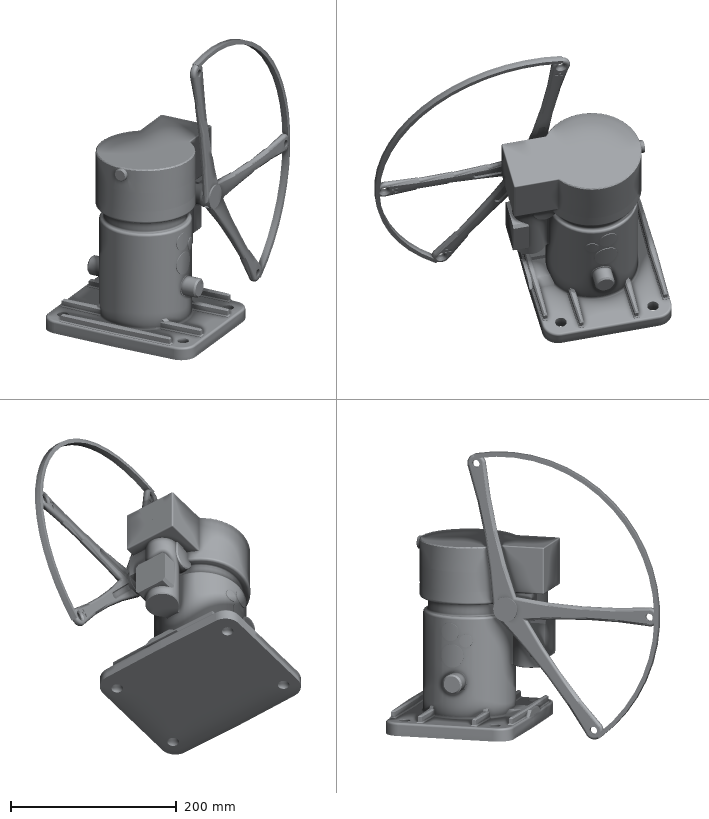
import cadquery as cq
import math


BASE_HALF_X = 101.5
BASE_END_Y = 79.5
BASE_MID_Y = 81.0
BASE_CORNER_R = 19.5
BASE_HEIGHT = 16.0
BASE_EDGE_R = 2.8
BASE_HOLE_D = 14.0
BASE_HOLE_X = 82.5
BASE_HOLE_Y = 57.0

RIB_TOP_Z = 25.5
INNER_RIB_Y = 34.0
INNER_RIB_HALF_X = 95.0
INNER_RIB_BLEND = 2.8
OUTER_RIB_Y = 74.5
OUTER_RIB_HALF_X = 74.7
RIB_END_WIDTH = 5.0
INNER_RIB_MID_WIDTH = 10.5
OUTER_RIB_MID_WIDTH = 7.5
RIB_TOP_CHAMFER = 1.7
RIB_FOOT_WIDENING = 1.5
RIB_FOOT_HEIGHT = 1.7
RIB_FOOT_CHAMFER = 1.2

REAR_PAD_TOP_Z = 23.3
REAR_PAD_END_Y = 82.3
REAR_PAD_TOP_HALF_X = 14.0
REAR_PAD_FOOT_HALF_X = 24.3

BARREL_R = 112.0 / 2
BARREL_TOP_Z = 141.0
BARREL_TOP_R = 3.0
BARREL_FOOT_R = 2.5
NECK_R = 50.5
NECK_FOOT_R = 2.0
NECK_TOP_R = 1.7

TRUNNION_D = 24.0
TRUNNION_FACE_D = 20.0
TRUNNION_TIP_X = 74.5
TRUNNION_Z = 61.5
SIDE_PAD_HEIGHT = 0.87
SIDE_PADS = [
    (26.5, 0, TRUNNION_Z),
    (28.5, -5.2, 93.0),
    (22.2, -8.0, 122.3),
    (15.5, 11.8, 112.2),
]

HEAD_R = 60.0
HEAD_SKIRT_R = 60.5
HEAD_BOTTOM_Z = 156.5
HEAD_SKIRT_TOP_Z = 173.0
HEAD_SKIRT_EDGE_R = 3.0
BOX_BOTTOM_Z = 170.5
BOX_HALF_X = 34.7
BOX_REAR_Y = 104.0
BOX_CORNER_R = 1.7
BOX_EDGE_R = 1.7
LID_BOTTOM_Z = 197.3
LID_TOP_Z = 228.0
LID_EDGE_R = 1.5

KNOB_D = 15.5
KNOB_FACE_D = 13.5
KNOB_TIP_Y = -64.5
KNOB_Z = 219.0

CRANK_Y = 63.2
CRANK_Z = 155.0

GEARBOX_R = 20.5
GEARBOX_Y = 77.5
GEARBOX_BOTTOM_Z = 76.5
GEARBOX_EDGE_CHAMFER = 1.0
GEARBOX_WEB_ANGLE = 42
GEARBOX_WEB_FRONT_Y = 57.3
CRANK_BOSS_R = 15.0
CRANK_BOSS_FACE_X = -22.5
CRANK_BOSS_CHAMFER = 1.5
CRANK_SHAFT_D = 26.5
CRANK_SHAFT_END_X = 48.5
CROSS_BLOCK_HALF_X = 21.5
CROSS_BLOCK_Y = (82.5, 101.8)
CROSS_BLOCK_Z = (88.5, 135.8)
CROSS_BLOCK_CHAMFER = 3.5
SIDE_PLATE_Y = (60.8, 90.0)
SIDE_PLATE_BOTTOM_Z = 139.3
SIDE_PLATE_END_X = 40.0

QUADRANT_X = (51.8, 59.7)
QUADRANT_WIDTH = QUADRANT_X[1] - QUADRANT_X[0]
HUB_R = 15.0
HUB_END_X = 62.0
RIM_R = 192.5
RIM_THICKNESS = 5.2
SPOKE_ANGLES = (102, 0, -52.3)
SPOKE_HOLE_RADIUS = 180.5
LUG_R = 11.5
SPOKE_WAIST_RADIUS = 114.5
SPOKE_WAIST_HALF_WIDTH = 8.0
SPOKE_ROOT_HALF_WIDTH = 16.5
SPOKE_EDGE_R = 3.5
SPOKE_HOLE_D = 9.5
SPOKE_COUNTERSINK_D = 14.0
DIMPLE_DEPTH = 1.0
DIMPLES = [
    (2.7, 10.0, 1.0),
    (3.5, 14.5, 3.5),
    (4.5, 14.0, -2.8),
]
GROOVE_END_RADIUS = 71.2
GROOVE_WIDTH = 9.0
GROOVE_DEPTH = 1.7
GROOVE_WALL_ANGLE = 40


def box_between(x_range, y_range, z_range):
    size = [high - low for low, high in (x_range, y_range, z_range)]
    corner = (x_range[0], y_range[0], z_range[0])
    return cq.Workplane("XY").box(*size, centered=False).translate(corner)


def cylinder_along_x(radius, x_range, y, z):
    return (
        cq.Workplane("YZ", origin=(x_range[0], y, z))
        .circle(radius)
        .extrude(x_range[1] - x_range[0])
    )


def make_base_plate():
    outline = [
        (-BASE_HALF_X, -BASE_END_Y),
        (0, -BASE_MID_Y),
        (BASE_HALF_X, -BASE_END_Y),
        (BASE_HALF_X, BASE_END_Y),
        (0, BASE_MID_Y),
        (-BASE_HALF_X, BASE_END_Y),
    ]
    plate = cq.Workplane("XY").polyline(outline).close().extrude(BASE_HEIGHT)
    plate = plate.edges("|Z and (<X or >X)").fillet(BASE_CORNER_R)
    plate = plate.faces(">Z").edges().fillet(BASE_EDGE_R)
    hole_places = [(sx * BASE_HOLE_X, sy * BASE_HOLE_Y) for sx in (-1, 1) for sy in (-1, 1)]
    holes = cq.Workplane("XY").pushPoints(hole_places).circle(BASE_HOLE_D / 2).extrude(BASE_HEIGHT)
    return plate.cut(holes)


def rib_prism(half_length, mid_width, widening, height):
    end = RIB_END_WIDTH / 2 + widening
    middle = mid_width / 2 + widening
    length = half_length + widening
    outline = [(-length, -end), (0, -middle), (length, -end), (length, end), (0, middle), (-length, end)]
    return cq.Workplane("XY").workplane(offset=BASE_HEIGHT).polyline(outline).close().extrude(height)


def make_rib(half_length, mid_width, y):
    rib = rib_prism(half_length, mid_width, 0, RIB_TOP_Z - BASE_HEIGHT)
    rib = rib.faces(">Z").edges().chamfer(RIB_TOP_CHAMFER)
    foot = rib_prism(half_length, mid_width, RIB_FOOT_WIDENING, RIB_FOOT_HEIGHT)
    foot = foot.faces(">Z").edges().chamfer(RIB_FOOT_CHAMFER)
    return rib.union(foot).translate((0, y, 0))


def make_rib_blends():
    collar = cq.Solid.makeCone(
        BARREL_R + 2 * INNER_RIB_BLEND,
        BARREL_R - INNER_RIB_BLEND,
        3 * INNER_RIB_BLEND,
        cq.Vector(0, 0, RIB_TOP_Z - INNER_RIB_BLEND),
    )
    reach = (-INNER_RIB_HALF_X, INNER_RIB_HALF_X)
    heights = (RIB_TOP_Z - INNER_RIB_BLEND, RIB_TOP_Z + 2 * INNER_RIB_BLEND)
    front = box_between(reach, (-INNER_RIB_Y - RIB_END_WIDTH / 2, -INNER_RIB_Y + RIB_END_WIDTH / 2), heights)
    rear = box_between(reach, (INNER_RIB_Y - RIB_END_WIDTH / 2, INNER_RIB_Y + RIB_END_WIDTH / 2), heights)
    return front.union(rear).intersect(cq.Workplane(collar))


def make_rear_pad():
    profile = [
        (-REAR_PAD_FOOT_HALF_X, BASE_HEIGHT),
        (REAR_PAD_FOOT_HALF_X, BASE_HEIGHT),
        (REAR_PAD_TOP_HALF_X, REAR_PAD_TOP_Z),
        (-REAR_PAD_TOP_HALF_X, REAR_PAD_TOP_Z),
    ]
    return cq.Workplane("XZ").polyline(profile).close().extrude(-REAR_PAD_END_Y)


def make_barrel():
    round_offset = math.sqrt(0.5)

    def arc_middle(center_r, center_z, radius, sign_r, sign_z):
        return (center_r + sign_r * radius * round_offset, center_z + sign_z * radius * round_offset)

    foot_r = BARREL_R + BARREL_FOOT_R
    foot_z = BASE_HEIGHT + BARREL_FOOT_R
    shoulder_r = BARREL_R - BARREL_TOP_R
    shoulder_z = BARREL_TOP_Z - BARREL_TOP_R
    neck_foot_r = NECK_R + NECK_FOOT_R
    neck_foot_z = BARREL_TOP_Z + NECK_FOOT_R
    neck_top_r = NECK_R + NECK_TOP_R
    neck_top_z = HEAD_BOTTOM_Z - NECK_TOP_R
    return (
        cq.Workplane("XZ")
        .moveTo(0, BASE_HEIGHT)
        .lineTo(foot_r, BASE_HEIGHT)
        .threePointArc(arc_middle(foot_r, foot_z, BARREL_FOOT_R, -1, -1), (BARREL_R, foot_z))
        .lineTo(BARREL_R, shoulder_z)
        .threePointArc(arc_middle(shoulder_r, shoulder_z, BARREL_TOP_R, 1, 1), (shoulder_r, BARREL_TOP_Z))
        .lineTo(neck_foot_r, BARREL_TOP_Z)
        .threePointArc(arc_middle(neck_foot_r, neck_foot_z, NECK_FOOT_R, -1, -1), (NECK_R, neck_foot_z))
        .lineTo(NECK_R, neck_top_z)
        .threePointArc(arc_middle(neck_top_r, neck_top_z, NECK_TOP_R, -1, 1), (neck_top_r, HEAD_BOTTOM_Z))
        .lineTo(0, HEAD_BOTTOM_Z)
        .close()
        .revolve(360, (0, 0, 0), (0, 1, 0))
    )


def make_side_pads():
    pad_surface = cq.Workplane("XY").circle(BARREL_R + SIDE_PAD_HEIGHT).extrude(BARREL_TOP_Z)
    reach = BARREL_R + 3.5
    bars = None
    for diameter, y, z in SIDE_PADS:
        bar = cylinder_along_x(diameter / 2, (-reach, reach), y, z)
        bars = bar if bars is None else bars.union(bar)
    return bars.intersect(pad_surface)


def make_trunnions():
    bar = cylinder_along_x(TRUNNION_D / 2, (-TRUNNION_TIP_X, TRUNNION_TIP_X), 0, TRUNNION_Z)
    return bar.faces("<X or >X").edges().chamfer((TRUNNION_D - TRUNNION_FACE_D) / 2)


def make_housing():
    housing = make_base_plate()
    for side in (-1, 1):
        inner_rib = make_rib(INNER_RIB_HALF_X, INNER_RIB_MID_WIDTH, side * INNER_RIB_Y)
        outer_rib = make_rib(OUTER_RIB_HALF_X, OUTER_RIB_MID_WIDTH, side * OUTER_RIB_Y)
        housing = housing.union(inner_rib).union(outer_rib)
    housing = housing.union(make_rear_pad()).union(make_barrel())
    housing = housing.union(make_rib_blends())
    return housing.union(make_side_pads()).union(make_trunnions())


def head_prism(bottom_z, top_z):
    box_front_y = math.sqrt(HEAD_R**2 - BOX_HALF_X**2)
    prism = (
        cq.Workplane("XY")
        .workplane(offset=bottom_z)
        .moveTo(BOX_HALF_X, box_front_y)
        .lineTo(BOX_HALF_X, BOX_REAR_Y)
        .lineTo(-BOX_HALF_X, BOX_REAR_Y)
        .lineTo(-BOX_HALF_X, box_front_y)
        .threePointArc((0, -HEAD_R), (BOX_HALF_X, box_front_y))
        .close()
        .extrude(top_z - bottom_z)
    )
    return prism.edges("|Z and >Y").fillet(BOX_CORNER_R)


def make_head_case():
    upper = head_prism(BOX_BOTTOM_Z, LID_BOTTOM_Z).faces("<Z").edges().fillet(BOX_EDGE_R)
    skirt = cq.Workplane(
        cq.Solid.makeCone(
            HEAD_SKIRT_R,
            HEAD_R,
            HEAD_SKIRT_TOP_Z - HEAD_BOTTOM_Z,
            cq.Vector(0, 0, HEAD_BOTTOM_Z),
        )
    )
    return upper.union(skirt.faces("<Z").edges().fillet(HEAD_SKIRT_EDGE_R))


def make_lid():
    lid = head_prism(LID_BOTTOM_Z, LID_TOP_Z).faces(">Z").edges().fillet(LID_EDGE_R)
    knob = cq.Workplane("XZ", origin=(0, 0, KNOB_Z)).circle(KNOB_D / 2).extrude(-KNOB_TIP_Y)
    return lid.union(knob.faces("<Y").edges().chamfer((KNOB_D - KNOB_FACE_D) / 2))


def make_gearbox_body():
    web_slope = math.radians(GEARBOX_WEB_ANGLE)
    tangent_x = GEARBOX_R * math.cos(web_slope)
    tangent_y = GEARBOX_Y - GEARBOX_R * math.sin(web_slope)
    front_x = tangent_x - (tangent_y - GEARBOX_WEB_FRONT_Y) * math.tan(web_slope)
    body = (
        cq.Workplane("XY", origin=(0, 0, GEARBOX_BOTTOM_Z))
        .moveTo(front_x, NECK_R)
        .lineTo(front_x, GEARBOX_WEB_FRONT_Y)
        .lineTo(tangent_x, tangent_y)
        .threePointArc((0, GEARBOX_Y + GEARBOX_R), (-tangent_x, tangent_y))
        .lineTo(-front_x, GEARBOX_WEB_FRONT_Y)
        .lineTo(-front_x, NECK_R)
        .close()
        .extrude(BOX_BOTTOM_Z - GEARBOX_BOTTOM_Z)
    )
    return body.faces("<Z").edges().chamfer(GEARBOX_EDGE_CHAMFER)


def make_crank_boss():
    boss_x = (CRANK_BOSS_FACE_X, 0)
    round_part = cylinder_along_x(CRANK_BOSS_R, boss_x, CRANK_Y, CRANK_Z)
    corner = box_between(boss_x, (CRANK_Y, CRANK_Y + CRANK_BOSS_R), (CRANK_Z, BOX_BOTTOM_Z))
    return round_part.union(corner).faces("<X").edges("not >Z").chamfer(CRANK_BOSS_CHAMFER)


def make_cross_block():
    block = box_between((-CROSS_BLOCK_HALF_X, CROSS_BLOCK_HALF_X), CROSS_BLOCK_Y, CROSS_BLOCK_Z)
    return block.faces("<X or >X").edges("|Y").chamfer(CROSS_BLOCK_CHAMFER)


def make_side_plate():
    return box_between((0, SIDE_PLATE_END_X), SIDE_PLATE_Y, (SIDE_PLATE_BOTTOM_Z, BOX_BOTTOM_Z))


def make_gearbox(head_case, housing):
    shaft = cylinder_along_x(CRANK_SHAFT_D / 2, (0, CRANK_SHAFT_END_X), CRANK_Y, CRANK_Z)
    gearbox = make_gearbox_body().union(make_crank_boss()).union(shaft)
    gearbox = gearbox.union(make_cross_block()).union(make_side_plate())
    return gearbox.cut(head_case).cut(housing)


def make_spoke():
    lug_tip = SPOKE_HOLE_RADIUS + LUG_R
    spoke = (
        cq.Workplane("YZ", origin=(QUADRANT_X[0], 0, 0))
        .moveTo(0, -SPOKE_ROOT_HALF_WIDTH)
        .threePointArc((SPOKE_WAIST_RADIUS, -SPOKE_WAIST_HALF_WIDTH), (SPOKE_HOLE_RADIUS, -LUG_R))
        .threePointArc((lug_tip, 0), (SPOKE_HOLE_RADIUS, LUG_R))
        .threePointArc((SPOKE_WAIST_RADIUS, SPOKE_WAIST_HALF_WIDTH), (0, SPOKE_ROOT_HALF_WIDTH))
        .close()
        .extrude(QUADRANT_WIDTH)
    )
    return spoke.faces("<X or >X").edges().fillet(SPOKE_EDGE_R)


def make_spoke_cuts():
    near_x = QUADRANT_X[0]
    hole = cylinder_along_x(SPOKE_HOLE_D / 2, QUADRANT_X, SPOKE_HOLE_RADIUS, 0)
    sink_depth = (SPOKE_COUNTERSINK_D - SPOKE_HOLE_D) / 2
    sink = cq.Solid.makeCone(
        SPOKE_COUNTERSINK_D / 2,
        SPOKE_HOLE_D / 2,
        sink_depth,
        cq.Vector(near_x, SPOKE_HOLE_RADIUS, 0),
        cq.Vector(1, 0, 0),
    )
    cuts = hole.union(cq.Workplane(sink))
    for diameter, inward, sideways in DIMPLES:
        depth_range = (near_x, near_x + DIMPLE_DEPTH)
        cuts = cuts.union(cylinder_along_x(diameter / 2, depth_range, SPOKE_HOLE_RADIUS - inward, sideways))
    groove = (
        cq.Workplane("YZ", origin=(near_x, GROOVE_END_RADIUS / 2, 0))
        .slot2D(GROOVE_END_RADIUS, GROOVE_WIDTH)
        .extrude(GROOVE_DEPTH, taper=GROOVE_WALL_ANGLE)
    )
    return cuts.union(groove)


def make_rim():
    start, middle, end = [
        (math.cos(math.radians(angle)), math.sin(math.radians(angle)))
        for angle in (SPOKE_ANGLES[-1], SPOKE_ANGLES[1], SPOKE_ANGLES[0])
    ]
    inner_r = RIM_R - RIM_THICKNESS

    def at(direction, radius):
        return (direction[0] * radius, direction[1] * radius)

    return (
        cq.Workplane("YZ", origin=(QUADRANT_X[0], 0, 0))
        .moveTo(*at(start, RIM_R))
        .threePointArc(at(middle, RIM_R), at(end, RIM_R))
        .lineTo(*at(end, inner_r))
        .threePointArc(at(middle, inner_r), at(start, inner_r))
        .close()
        .extrude(QUADRANT_WIDTH)
    )


def make_quadrant():
    quadrant = make_rim()
    for angle in SPOKE_ANGLES:
        quadrant = quadrant.union(make_spoke().rotate((0, 0, 0), (1, 0, 0), angle))
    for angle in SPOKE_ANGLES:
        quadrant = quadrant.cut(make_spoke_cuts().rotate((0, 0, 0), (1, 0, 0), angle))
    hub = cylinder_along_x(HUB_R, (CRANK_SHAFT_END_X, HUB_END_X), 0, 0)
    return quadrant.union(hub).translate((0, CRANK_Y, CRANK_Z))


housing = make_housing()
head_case = make_head_case()
lid = make_lid()
gearbox = make_gearbox(head_case, housing)
quadrant = make_quadrant()

result = cq.Compound.makeCompound(
    [housing.val(), head_case.val(), lid.val(), gearbox.val(), quadrant.val()]
)